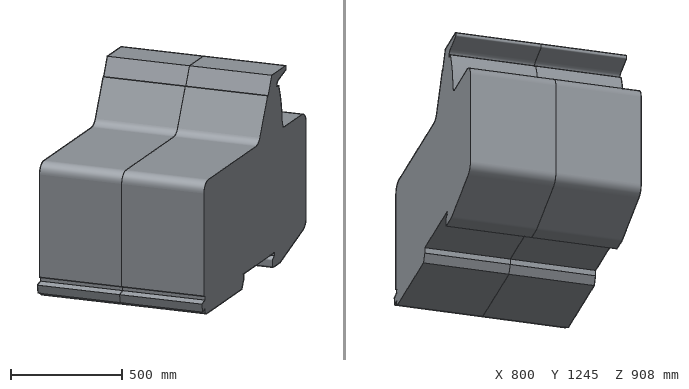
import cadquery as cq

module_count = 2
total_width = 800.0
module_width = total_width / module_count
depth = 1245.0
height = 908.0

front_y = 25.0
case_top = 625.0
corner_radius = 52.0
rear_bottom_z = 90.0
slope_start_y = 934.0

groove_y = 37.0
groove_top = 92.0
groove_inner_top = 86.0
tab_root_top = 70.0
tab_root_bottom = 29.0
tab_tip_top = 61.0
tab_tip_bottom = 21.0
tab_tip_setback = 9.0
front_bottom_radius = 20.0

recess_top = 66.0
recess_front_y = 500.0
recess_mouth_y = 478.0
recess_rear_y = 864.0
hook_y = 843.0
hook_top = 52.0
hook_shoulder = 39.0
hook_radius = 9.0

lever_front_y = 834.0
lever_step_y = 790.0
lever_step_depth = 6.0
lever_step_z = 824.0
lever_foot_y = 676.0
lever_tip_y = 1006.0
lever_tip_bottom = 888.0
tip_radius = 6.0
notch_y = 896.0
notch_floor = 837.0
notch_rear_y = 918.0
notch_arc_start_z = 865.0
notch_arc_mid = (904.0, 859.0)
notch_arc_end_z = 849.0
lever_back_mid = (941.0, 771.0)
lever_back_foot = (959.0, 660.0)
root_arc_mid = (964.0, 641.0)
root_arc_end_y = 976.0


def edge_finder(y, z):
    """Box selector around the X-parallel edge through the point (y, z)."""
    reach = 1.0
    return cq.selectors.BoxSelector(
        (-reach, y - reach, z - reach), (total_width, y + reach, z + reach)
    )


def side_profile():
    """Closed YZ outline with sharp corners where the fillets go."""
    outline = cq.Workplane("YZ").moveTo(front_y, case_top)
    outline = (
        outline.lineTo(front_y, groove_top)
        .lineTo(groove_y, groove_inner_top)
        .lineTo(groove_y, tab_root_top)
        .lineTo(0, tab_tip_top)
        .lineTo(tab_tip_setback, tab_tip_bottom)
        .lineTo(groove_y, tab_root_bottom)
        .lineTo(groove_y, 0)
    )
    outline = (
        outline.lineTo(recess_mouth_y, 0)
        .lineTo(recess_front_y, hook_shoulder)
        .lineTo(recess_front_y, recess_top)
        .lineTo(recess_rear_y, recess_top)
        .lineTo(recess_rear_y, hook_top)
        .lineTo(hook_y, hook_shoulder)
        .lineTo(hook_y, 0)
        .lineTo(slope_start_y, 0)
    )
    outline = (
        outline.lineTo(depth, rear_bottom_z)
        .lineTo(depth, case_top)
        .lineTo(root_arc_end_y, case_top)
    )
    outline = (
        outline.threePointArc(root_arc_mid, lever_back_foot)
        .threePointArc(lever_back_mid, (notch_rear_y, notch_floor))
        .lineTo(notch_y, notch_floor)
        .lineTo(notch_y, notch_arc_end_z)
        .threePointArc(notch_arc_mid, (notch_rear_y, notch_arc_start_z))
        .lineTo(lever_tip_y, lever_tip_bottom)
        .lineTo(lever_tip_y, height)
        .lineTo(lever_front_y, height)
        .lineTo(lever_step_y, lever_step_z)
        .lineTo(lever_step_y - lever_step_depth, lever_step_z)
        .lineTo(lever_foot_y, case_top)
    )
    return outline.close()


def fuse_module(index):
    """One module, placed at its position in the row."""
    module = side_profile().extrude(module_width)
    rounded_corners = [
        (front_y, case_top, corner_radius),
        (depth, case_top, corner_radius),
        (depth, rear_bottom_z, corner_radius),
        (lever_foot_y, case_top, corner_radius),
        (slope_start_y, 0, corner_radius),
        (groove_y, 0, front_bottom_radius),
        (hook_y, 0, hook_radius),
        (hook_y, hook_shoulder, hook_radius),
        (lever_tip_y, height, tip_radius),
        (lever_tip_y, lever_tip_bottom, tip_radius),
    ]
    for y, z, radius in rounded_corners:
        module = module.edges("|X").edges(edge_finder(y, z)).fillet(radius)
    return module.translate((index * module_width, 0, 0))


modules = [fuse_module(index) for index in range(module_count)]

result = cq.Compound.makeCompound([module.val() for module in modules])